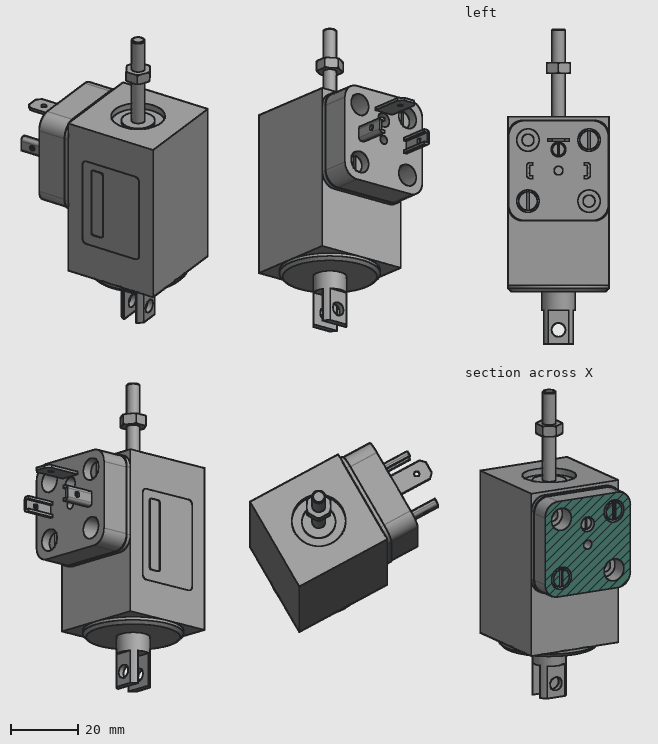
import cadquery as cq
import math


HOUSING_WIDTH = 30.0
HOUSING_HEIGHT = 50.0
CAP_THICKNESS = 2.0
CAP_CHAMFER = 1.0
RECESS_DIAMETER = 16.0
RECESS_DEPTH = 2.0

PLUNGER_DIAMETER = 10.0
PLUNGER_RISE = 0.6
PLUNGER_COLLAR = 5.5
FORK_LENGTH = 10.0
FORK_THICKNESS = 7.95
FORK_WIDTH = 8.9
FORK_SLOT = 4.0
FORK_HOLE_DIAMETER = 4.0
FORK_HOLE_FROM_END = 4.2
ROD_DIAMETER = 4.0
ROD_PROTRUSION = 26.0
ROD_CHAMFER = 0.4
NUT_ACROSS_FLATS = 7.0
NUT_HEIGHT = 3.2
NUT_FROM_ROD_END = 9.9
NUT_CORNER_CHAMFER = 0.3

PLATE_THICKNESS = 1.4
PLATE_WIDTH = 29.9
PLATE_TOP_GAP = 1.0
BLOCK_LENGTH = 9.1
BLOCK_WIDTH = 29.5
CONNECTOR_CORNER_RADIUS = 4.5

SCREW_OFFSET = 9.1
BORE_DIAMETER = 6.6
BORE_DEPTH = 8.0
THROUGH_DIAMETER = 3.55
SCREW_HEAD_DIAMETER = 5.5
SCREW_SLOT = 0.8
SCREW_SLOT_DEPTH = 0.9
SCREW_HEAD_DEPTH = 2.5
EARTH_SCREW_RISE = 6.3
EARTH_BORE_DIAMETER = 4.3
EARTH_HEAD_DIAMETER = 3.6
EARTH_HEAD_DEPTH = 4.0
EARTH_SLOT = 0.6
CENTRE_HOLE_DIAMETER = 2.6

TERMINAL_SHEET = 0.8
TERMINAL_HOLE_DIAMETER = 1.6
FLAT_LENGTH = 12.0
FLAT_WIDTH = 6.45
FLAT_TIP_CHAMFER = 1.4
FLAT_HOLE_REACH = 7.9
CHANNEL_LENGTH = 9.8
CHANNEL_HEIGHT = 4.8
CHANNEL_FLANGE = 1.9
CHANNEL_BEND_RADIUS = 1.0
CHANNEL_OUTER_Y = 9.4
CHANNEL_HOLE_REACH = 5.9

LABEL_WIDTH = 20.0
LABEL_HEIGHT = 28.05
LABEL_CORNER_RADIUS = 1.5
LABEL_DEPTH = 0.1
NAMEPLATE_X = -5.0
NAMEPLATE_Z = -24.5
NAMEPLATE_WIDTH = 4.0
NAMEPLATE_HEIGHT = 22.0
NAMEPLATE_CORNER_RADIUS = 0.75
NAMEPLATE_DEPTH = 0.4

HALF_HOUSING = HOUSING_WIDTH / 2
CAP_BOTTOM = -HOUSING_HEIGHT - CAP_THICKNESS
COLLAR_BOTTOM = CAP_BOTTOM - PLUNGER_COLLAR
FORK_BOTTOM = COLLAR_BOTTOM - FORK_LENGTH
PLUNGER_TOP = PLUNGER_RISE - RECESS_DEPTH
CONNECTOR_Z = -PLATE_TOP_GAP - PLATE_WIDTH / 2
PLATE_FACE_X = -HALF_HOUSING - PLATE_THICKNESS
BLOCK_FACE_X = PLATE_FACE_X - BLOCK_LENGTH


def upright_cylinder(diameter, bottom, top):
    return cq.Workplane("XY", origin=(0, 0, bottom)).circle(diameter / 2).extrude(top - bottom)


def axial_cylinder(diameter, y, z, depth, end_depth):
    """Cylinder along X between two depths below the connector face; z is from its centre."""
    start = (BLOCK_FACE_X + depth, y, CONNECTOR_Z + z)
    return cq.Workplane("YZ", origin=start).circle(diameter / 2).extrude(end_depth - depth)


def make_housing():
    housing = cq.Workplane("XY").rect(HOUSING_WIDTH, HOUSING_WIDTH).extrude(-HOUSING_HEIGHT)
    cap = upright_cylinder(HOUSING_WIDTH, CAP_BOTTOM, -HOUSING_HEIGHT).faces("<Z").chamfer(CAP_CHAMFER)
    return housing.union(cap).cut(upright_cylinder(RECESS_DIAMETER, -RECESS_DEPTH, 0))


def face_pocket(x, z, width, height, corner_radius, depth):
    """Rounded pocket sunk into the -Y face of the housing."""
    pocket = cq.Workplane("XY").box(width, depth, height).edges("|Y").fillet(corner_radius)
    return pocket.translate((x, (depth - HOUSING_WIDTH) / 2, z))


def make_plunger():
    """Plunger running through the housing, forked at its lower end."""
    plunger = upright_cylinder(PLUNGER_DIAMETER, COLLAR_BOTTOM, PLUNGER_TOP)
    fork_middle = COLLAR_BOTTOM - FORK_LENGTH / 2
    fork = upright_cylinder(PLUNGER_DIAMETER, FORK_BOTTOM, COLLAR_BOTTOM)
    envelope = cq.Workplane("XY").box(FORK_THICKNESS, FORK_WIDTH, FORK_LENGTH)
    slot = cq.Workplane("XY").box(FORK_SLOT, PLUNGER_DIAMETER, FORK_LENGTH)
    fork = fork.intersect(envelope.translate((0, 0, fork_middle)))
    fork = fork.cut(slot.translate((0, 0, fork_middle)))
    pin_hole = cq.Workplane("YZ", origin=(0, 0, FORK_BOTTOM + FORK_HOLE_FROM_END))
    pin_hole = pin_hole.circle(FORK_HOLE_DIAMETER / 2).extrude(FORK_THICKNESS, both=True)
    return plunger.union(fork.cut(pin_hole))


def make_rod():
    return upright_cylinder(ROD_DIAMETER, PLUNGER_TOP, ROD_PROTRUSION).faces(">Z").chamfer(ROD_CHAMFER)


def make_nut():
    """Hexagon nut with corners on the X axis, bevelled at both ends."""
    bottom = ROD_PROTRUSION - NUT_FROM_ROD_END - NUT_HEIGHT
    plane = cq.Workplane("XY", origin=(0, 0, bottom))
    corner_diameter = NUT_ACROSS_FLATS / math.cos(math.pi / 6)
    hexagon = plane.polygon(6, corner_diameter).extrude(NUT_HEIGHT)
    bevel = upright_cylinder(corner_diameter, bottom, bottom + NUT_HEIGHT)
    return hexagon.intersect(bevel.faces("<Z or >Z").chamfer(NUT_CORNER_CHAMFER))


def connector_slab(face_x, thickness, width):
    slab = cq.Workplane("YZ", origin=(face_x, 0, CONNECTOR_Z)).rect(width, width).extrude(thickness)
    return slab.edges("|X").fillet(CONNECTOR_CORNER_RADIUS)


def slotted_screw(y, z, diameter, depth, slot_width):
    """Screw filling its bore from the bottom up to a slotted head."""
    screw = axial_cylinder(diameter, y, z, depth, BORE_DEPTH)
    slot = cq.Workplane("XY").box(2 * SCREW_SLOT_DEPTH, slot_width, diameter)
    return screw.cut(slot.translate((BLOCK_FACE_X + depth, y, CONNECTOR_Z + z)))


def make_connector():
    connector = connector_slab(PLATE_FACE_X, PLATE_THICKNESS, PLATE_WIDTH)
    connector = connector.union(connector_slab(BLOCK_FACE_X, BLOCK_LENGTH, BLOCK_WIDTH))
    for side in (-1, 1):
        for level in (-1, 1):
            y = side * SCREW_OFFSET
            z = level * SCREW_OFFSET
            connector = connector.cut(axial_cylinder(BORE_DIAMETER, y, z, 0, BORE_DEPTH))
            if side != level:
                screw = slotted_screw(y, z, SCREW_HEAD_DIAMETER, SCREW_HEAD_DEPTH, SCREW_SLOT)
                connector = connector.union(screw)
            else:
                end = BLOCK_LENGTH + PLATE_THICKNESS
                connector = connector.cut(axial_cylinder(THROUGH_DIAMETER, y, z, 0, end))
    connector = connector.cut(axial_cylinder(EARTH_BORE_DIAMETER, 0, EARTH_SCREW_RISE, 0, BORE_DEPTH))
    earth_screw = slotted_screw(0, EARTH_SCREW_RISE, EARTH_HEAD_DIAMETER, EARTH_HEAD_DEPTH, EARTH_SLOT)
    centre_hole = axial_cylinder(CENTRE_HOLE_DIAMETER, 0, 0, 0, BORE_DEPTH)
    return connector.union(earth_screw).cut(centre_hole)


def make_flat_terminal():
    blade = cq.Workplane("XY").box(FLAT_LENGTH, FLAT_WIDTH, TERMINAL_SHEET, centered=(False, True, True))
    blade = blade.edges("|Z and <X").chamfer(FLAT_TIP_CHAMFER)
    hole_x = FLAT_LENGTH - FLAT_HOLE_REACH
    hole = cq.Workplane("XY").center(hole_x, 0).circle(TERMINAL_HOLE_DIAMETER / 2)
    blade = blade.cut(hole.extrude(TERMINAL_SHEET, both=True))
    return blade.translate((BLOCK_FACE_X - FLAT_LENGTH, 0, CONNECTOR_Z + SCREW_OFFSET))


def make_channel_terminal():
    """U-shaped terminal on the +Y side, open towards the connector centre."""
    start = (BLOCK_FACE_X - CHANNEL_LENGTH, CHANNEL_OUTER_Y - CHANNEL_FLANGE / 2, CONNECTOR_Z)
    profile = cq.Workplane("YZ", origin=start)
    channel = profile.rect(CHANNEL_FLANGE, CHANNEL_HEIGHT).extrude(CHANNEL_LENGTH)
    channel = channel.edges("|X and >Y").fillet(CHANNEL_BEND_RADIUS)
    groove = profile.center(-TERMINAL_SHEET, 0).rect(CHANNEL_FLANGE, CHANNEL_HEIGHT - 2 * TERMINAL_SHEET)
    hole = cq.Workplane("XZ", origin=(BLOCK_FACE_X - CHANNEL_HOLE_REACH, CHANNEL_OUTER_Y, CONNECTOR_Z))
    hole = hole.circle(TERMINAL_HOLE_DIAMETER / 2).extrude(CHANNEL_FLANGE)
    return channel.cut(groove.extrude(CHANNEL_LENGTH)).cut(hole)


label = face_pocket(0, -HOUSING_HEIGHT / 2, LABEL_WIDTH, LABEL_HEIGHT, LABEL_CORNER_RADIUS, LABEL_DEPTH)
nameplate = face_pocket(
    NAMEPLATE_X,
    NAMEPLATE_Z,
    NAMEPLATE_WIDTH,
    NAMEPLATE_HEIGHT,
    NAMEPLATE_CORNER_RADIUS,
    NAMEPLATE_DEPTH,
)
channel_terminal = make_channel_terminal()

result = (
    make_housing()
    .cut(label)
    .cut(nameplate)
    .union(make_plunger())
    .union(make_rod())
    .union(make_nut())
    .union(make_connector())
    .union(make_flat_terminal())
    .union(channel_terminal)
    .union(channel_terminal.mirror("XZ"))
)